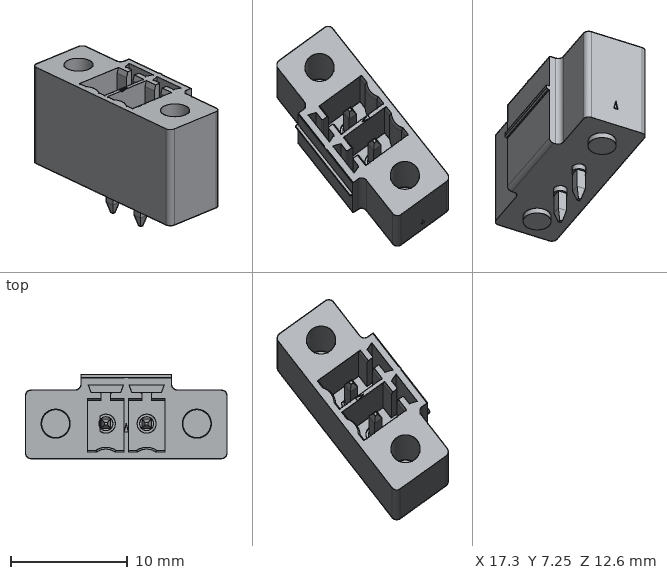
import cadquery as cq
import math


length = 17.3
flange_depth = 5.9
body_height = 9.2
corner_radius = 0.5
tower_width = 7.78
tower_depth = 6.99
tower_foot_radius = 0.42
back_edge_chamfer = 0.07

overall_depth = 7.25
ridge_bottom = 5.59
ridge_top = 6.02
ridge_chamfer = 0.14

axis_y = 3.01
pitch = 3.5
pin_width = 0.83
pin_depth = 0.8
pin_tip_size = 0.28
pin_taper = 1.02
pin_bottom = -3.39
pin_top = 8.05
foot_height = 0.52
collar_diameter = 1.2

floor_height = 1.55
divider = 0.35
cavity_width = pitch - divider
cavity_front = 0.73
cavity_back = 5.0
mouth_flare = 0.15
mouth_depth = 0.5
bump_rise = 0.26
bump_half_width = 0.85
bump_radius = (bump_half_width**2 + bump_rise**2) / (2 * bump_rise)

dovetail_floor = 1.04
dovetail_front = 5.67
dovetail_back = 6.35
dovetail_front_width = 2.55
dovetail_back_width = 3.03
neck_width = 0.81
neck_rounding = 0.12

seat_radius = 0.81
seat_height = 0.17
collar_rise = 0.09
seat_flat = 0.52

hole_spacing = 12.11
hole_radius = 1.25
peg_diameter = 2.4
peg_rise = 0.09

arrow_width = 0.35
arrow_length = 0.76
arrow_depth = 0.1
end_arrow_base = 1.8
top_arrow_base = 2.28

pin_positions = [-pitch / 2, pitch / 2]
hole_positions = [-hole_spacing / 2, hole_spacing / 2]


def cylinder(x, radius, bottom, top):
    return cq.Workplane("XY", origin=(x, axis_y, bottom)).circle(radius).extrude(top - bottom)


def make_housing():
    flange = (
        cq.Workplane("XY")
        .rect(length, flange_depth)
        .extrude(body_height)
        .translate((0, flange_depth / 2, 0))
        .edges("|Z")
        .fillet(corner_radius)
    )
    tower = (
        cq.Workplane("XY")
        .rect(tower_width, tower_depth)
        .extrude(body_height)
        .translate((0, tower_depth / 2, 0))
        .edges(">Y and <Z")
        .fillet(tower_foot_radius)
        .edges(">Y and >Z")
        .chamfer(back_edge_chamfer)
    )
    square_edge = (
        cq.Workplane("XY", origin=(0, tower_depth - divider / 2, body_height - divider))
        .rect(divider, divider)
        .extrude(divider)
    )
    tower = tower.union(square_edge)
    inner_corners = cq.selectors.BoxSelector(
        (-tower_width, flange_depth - corner_radius / 2, 0),
        (tower_width, flange_depth + corner_radius / 2, body_height),
    )
    return flange.union(tower).edges("|Z").edges(inner_corners).fillet(corner_radius)


def make_ridge():
    ridge_depth = overall_depth - flange_depth
    return (
        cq.Workplane("XY")
        .box(tower_width, ridge_depth, ridge_top - ridge_bottom)
        .edges(">Y and <Z")
        .chamfer(ridge_chamfer)
        .translate((0, flange_depth + ridge_depth / 2, (ridge_bottom + ridge_top) / 2))
    )


def make_cavity(x):
    mouth_bottom = body_height - mouth_depth
    profile = [
        (cavity_front, floor_height),
        (cavity_back, floor_height),
        (cavity_back, mouth_bottom),
        (cavity_back + mouth_flare, body_height),
        (cavity_front - mouth_flare, body_height),
        (cavity_front, mouth_bottom),
    ]
    chamber = (
        cq.Workplane("YZ", origin=(x - cavity_width / 2, 0, 0))
        .polyline(profile)
        .close()
        .extrude(cavity_width)
    )
    bump_profile = [
        (0, floor_height),
        (bump_radius, floor_height),
        (bump_radius, mouth_bottom),
        (bump_radius - mouth_flare, body_height),
        (0, body_height),
    ]
    bump_y = cavity_front + bump_rise - bump_radius
    bump = (
        cq.Workplane("XZ", origin=(x, bump_y, 0))
        .polyline(bump_profile)
        .close()
        .revolve(360, (0, 0, 0), (0, 1, 0))
    )
    return chamber.cut(bump)


def make_coding_slot(x):
    neck = neck_width / 2
    dovetail = (
        cq.Workplane("XY", origin=(x, 0, dovetail_floor))
        .moveTo(-dovetail_back_width / 2, dovetail_back)
        .lineTo(dovetail_back_width / 2, dovetail_back)
        .lineTo(dovetail_front_width / 2, dovetail_front)
        .lineTo(-dovetail_front_width / 2, dovetail_front)
        .close()
        .extrude(body_height - dovetail_floor)
    )
    neck_passage = (
        cq.Workplane("XY", origin=(x, 0, floor_height))
        .moveTo(-neck - neck_rounding, dovetail_front)
        .lineTo(neck + neck_rounding, dovetail_front)
        .radiusArc((neck, dovetail_front - neck_rounding), -neck_rounding)
        .lineTo(neck, cavity_back)
        .lineTo(-neck, cavity_back)
        .lineTo(-neck, dovetail_front - neck_rounding)
        .radiusArc((-neck - neck_rounding, dovetail_front), -neck_rounding)
        .close()
        .extrude(body_height - floor_height)
    )
    return dovetail.union(neck_passage)


def make_seat(x):
    seat_top = floor_height + seat_height
    collar_top = seat_top + collar_rise
    seat = cylinder(x, seat_radius, floor_height, seat_top)
    seat = seat.union(cylinder(x, collar_diameter / 2, floor_height, collar_top))
    if x == pin_positions[0]:
        flat_cut = (
            cq.Workplane("XY", origin=(x - seat_flat - seat_radius, axis_y, floor_height))
            .rect(2 * seat_radius, 2 * seat_radius)
            .extrude(collar_top - floor_height)
        )
        seat = seat.cut(flat_cut)
    return seat.union(cylinder(x, collar_diameter / 2, -foot_height, seat_top))


def make_pin(x):
    shank_bottom = pin_bottom + pin_taper
    shank_top = pin_top - pin_taper
    shank = (
        cq.Workplane("XY", origin=(x, axis_y, shank_bottom))
        .rect(pin_width, pin_depth)
        .extrude(shank_top - shank_bottom)
    )
    slope = math.degrees(math.atan((pin_width - pin_tip_size) / 2 / pin_taper))
    upper_tip = shank.faces(">Z").workplane().rect(pin_width, pin_depth).extrude(pin_taper, taper=slope)
    return upper_tip.faces("<Z").workplane().rect(pin_width, pin_depth).extrude(pin_taper, taper=slope)


def make_arrow():
    return (
        cq.Workplane("XY")
        .polyline([(-arrow_width / 2, 0), (arrow_width / 2, 0), (0, arrow_length)])
        .close()
        .extrude(-arrow_depth)
    )


result = make_housing().union(make_ridge())

for x in pin_positions:
    result = result.cut(make_cavity(x)).cut(make_coding_slot(x))

for x in pin_positions:
    result = result.union(make_seat(x)).union(make_pin(x))

for x in hole_positions:
    result = result.cut(cylinder(x, hole_radius, floor_height, body_height))
    result = result.union(cylinder(x, peg_diameter / 2, -foot_height, floor_height + peg_rise))

top_arrow = make_arrow().translate((0, top_arrow_base, body_height))
end_arrow = (
    make_arrow()
    .rotate((0, 0, 0), (1, 0, 0), 90)
    .rotate((0, 0, 0), (0, 0, 1), -90)
    .translate((-length / 2, axis_y, end_arrow_base))
)
result = result.cut(top_arrow).cut(end_arrow)